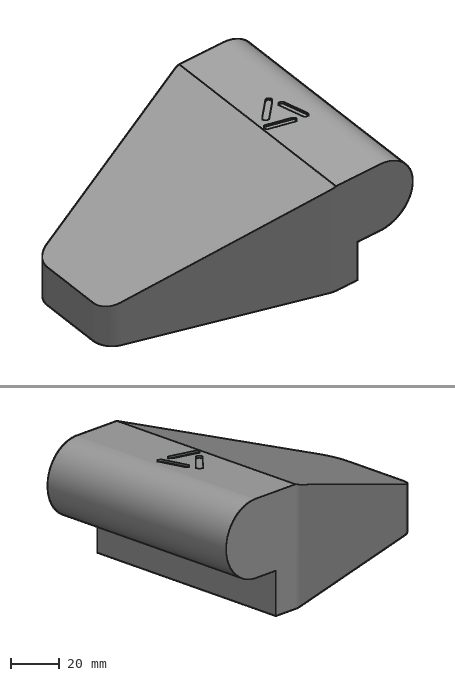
import cadquery as cq
import math

length = 139.2
width = 103.2
height = 55.0
front_width = 44.8
front_height = 20.0
taper_end = 97.1
corner_radius = 10.0

block_back = 110.0
nose_start = 122.6
nose_middle_z = (front_height + height) / 2

taper_angle = math.atan2((width - front_width) / 2, taper_end)
flat_start = taper_end + corner_radius * math.tan(taper_angle / 2)

slot_count = 3
slot_length = 14.7
slot_width = 2.9
slot_depth = 1.0
slot_angle = 15
slot_offset = 5.7
slot_shift = 2.5
slot_center_y = (flat_start + nose_start) / 2


def plan_prism():
    """Full-height plan shape, straight at the back, tapered and rounded in front."""
    prism = (
        cq.Workplane("XY")
        .moveTo(-front_width / 2, 0)
        .lineTo(front_width / 2, 0)
        .lineTo(width / 2, taper_end)
        .lineTo(width / 2, length)
        .lineTo(-width / 2, length)
        .lineTo(-width / 2, taper_end)
        .close()
        .extrude(height)
    )
    return prism.edges("|Z").edges("not >Y").fillet(corner_radius)


def side_prism():
    """Side silhouette: sloped then flat top, rounded nose and stepped underside."""
    return (
        cq.Workplane("YZ")
        .moveTo(0, 0)
        .lineTo(0, front_height)
        .lineTo(flat_start, height)
        .lineTo(nose_start, height)
        .threePointArc((length, nose_middle_z), (nose_start, front_height))
        .lineTo(block_back, front_height)
        .lineTo(block_back, 0)
        .close()
        .extrude(width / 2, both=True)
    )


def slot_cutter(index):
    """One slot of the triangle, turned about the triangle centre."""
    turn = slot_angle + index * 360 / slot_count
    return (
        cq.Workplane("XY")
        .center(slot_shift, slot_offset)
        .slot2D(slot_length, slot_width)
        .extrude(slot_depth)
        .rotate((0, 0, 0), (0, 0, 1), turn)
        .translate((0, slot_center_y, height - slot_depth))
    )


result = plan_prism().intersect(side_prism())
for slot_index in range(slot_count):
    result = result.cut(slot_cutter(slot_index))